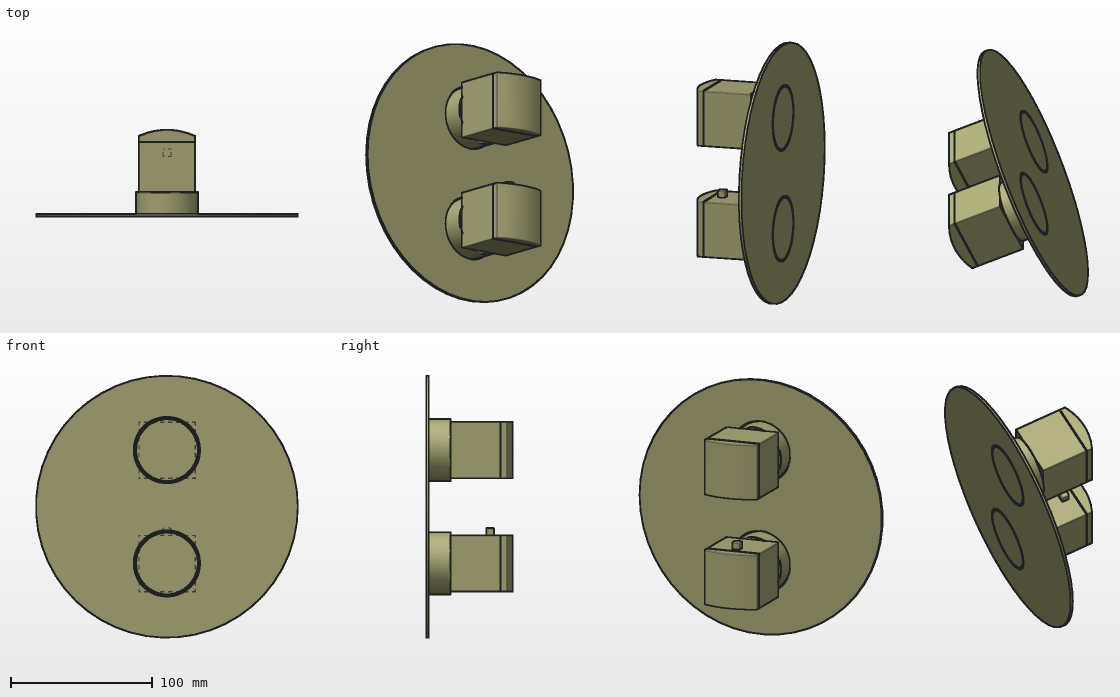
import cadquery as cq

plate_diameter = 185.0
plate_thickness = 2.0

handle_spacing = 80.0
collar_diameter = 44.0
collar_end = 17.5
grip_width = 40.0
grip_side_end = 57.0
grip_crown_end = 61.49
edge_round = 0.5

seam_start = 52.4
seam_width = 0.5
seam_depth = 0.3

collar_clearance = 0.5
hole_diameter = collar_diameter + 2 * collar_clearance
rim_width = 1.0
rim_diameter = hole_diameter + 2 * rim_width
rim_depth = 0.1

button_width = 5.5
button_height = 5.0
button_center = 45.25

upper_height = handle_spacing / 2
lower_height = -handle_spacing / 2


def disc(diameter, height, end):
    """Cylinder along +Y from the plate's front face, centred on X = 0 at the given Z."""
    return cq.Workplane("XZ", origin=(0, 0, height)).circle(diameter / 2).extrude(-end)


def make_plate():
    body = disc(plate_diameter, 0, plate_thickness)
    for height in (upper_height, lower_height):
        body = body.cut(disc(hole_diameter, height, plate_thickness))
        body = body.cut(disc(rim_diameter, height, rim_depth))
    return body


def make_grip(height):
    """Square grip with rounded edges whose rear face is an arc swept along Z."""
    half_width = grip_width / 2
    return (
        cq.Workplane("XY", origin=(0, 0, height - half_width))
        .moveTo(-half_width, collar_end)
        .lineTo(half_width, collar_end)
        .lineTo(half_width, grip_side_end)
        .threePointArc((0, grip_crown_end), (-half_width, grip_side_end))
        .close()
        .extrude(grip_width)
        .edges("not <Y")
        .fillet(edge_round)
    )


def make_seam(height):
    """Square frame that cuts the groove around the grip."""
    core_width = grip_width - 2 * seam_depth
    return (
        cq.Workplane("XZ", origin=(0, seam_start, height))
        .rect(grip_width, grip_width)
        .rect(core_width, core_width)
        .extrude(-seam_width)
    )


def make_handle(height):
    collar = disc(collar_diameter, height, collar_end).faces(">Y").fillet(edge_round)
    return collar.union(make_grip(height).cut(make_seam(height)))


def make_button():
    grip_top = lower_height + grip_width / 2
    return (
        cq.Workplane("XY", origin=(0, button_center, grip_top))
        .rect(button_width, button_width)
        .extrude(button_height)
        .edges("not <Z")
        .fillet(edge_round)
    )


plate = make_plate()
upper_handle = make_handle(upper_height)
lower_handle = make_handle(lower_height).union(make_button())

bodies = (plate, upper_handle, lower_handle)
result = cq.Compound.makeCompound([body.solids().val() for body in bodies])